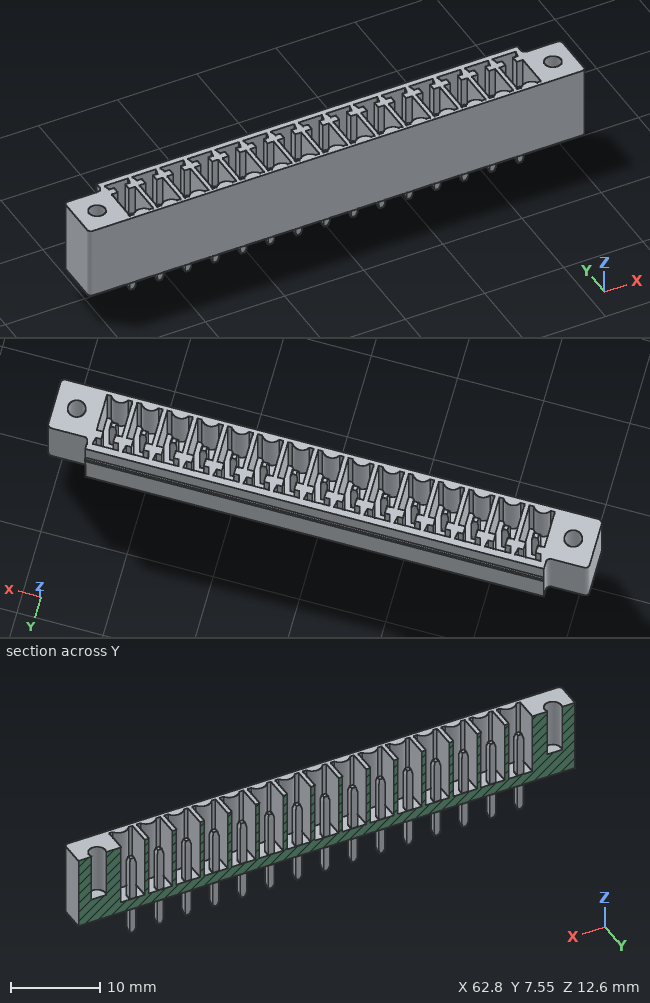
import cadquery as cq

contact_count = 15
contact_pitch = 3.5
contact_span = (contact_count - 1) * contact_pitch
contact_xs = [i * contact_pitch - contact_span / 2 for i in range(contact_count)]
contact_y = 3.0

overall_length = 62.8
overall_depth = 7.55
overall_height = 12.6
housing_height = 9.2
housing_depth = 7.35
center_length = contact_span + 4.2
flange_depth = 6.0
corner_radius = 0.5
step_radius = 0.5

ridge_base_height = 0.8
ridge_crest_height = 0.6
ridge_z = 5.95

hole_diameter = 2.0
hole_depth = 6.0
hole_offset = 4.3

chamber_floor = 1.5
chamber_front = 0.5
chamber_width = 2.95
shoulder_y = 4.85
neck_width = 1.4
slot_front = 5.75
slot_back = 6.55
slot_front_width = 2.6
bump_width = 2.0
bump_projection = 0.55

pin_width = 0.8
pin_tip_width = 0.5
pin_taper = 0.6
pin_top = 7.0
pin_bottom = housing_height - overall_height


def make_housing():
    """Long block with a deeper center part between two flanges."""
    center = cq.Workplane("XY").box(
        center_length, housing_depth, housing_height, centered=(True, False, False)
    )
    flanges = cq.Workplane("XY").box(
        overall_length, flange_depth, housing_height, centered=(True, False, False)
    )
    flanges = flanges.edges("|Z").fillet(corner_radius)
    housing = flanges.union(center)
    for side in (-1, 1):
        step_corner = cq.selectors.NearestToPointSelector(
            (side * center_length / 2, flange_depth, housing_height / 2)
        )
        housing = housing.edges("|Z").edges(step_corner).fillet(step_radius)
    return housing


def make_ridge():
    """Low trapezoidal ridge along the back of the center part."""
    base = ridge_base_height / 2
    crest = ridge_crest_height / 2
    return (
        cq.Workplane("YZ", origin=(-center_length / 2, 0, 0))
        .moveTo(housing_depth, ridge_z - base)
        .lineTo(overall_depth, ridge_z - crest)
        .lineTo(overall_depth, ridge_z + crest)
        .lineTo(housing_depth, ridge_z + base)
        .close()
        .extrude(center_length)
    )


def make_chamber(x):
    """Chamber outline: ribbed front wall, body, neck and dovetail slot."""
    half = chamber_width / 2
    neck = neck_width / 2
    slot = slot_front_width / 2
    bump = bump_width / 2
    return (
        cq.Workplane("XY", origin=(x, 0, chamber_floor))
        .moveTo(-half, chamber_front)
        .lineTo(-bump, chamber_front)
        .threePointArc((0, chamber_front + bump_projection), (bump, chamber_front))
        .lineTo(half, chamber_front)
        .lineTo(half, shoulder_y)
        .lineTo(neck, shoulder_y)
        .lineTo(neck, slot_front)
        .lineTo(slot, slot_front)
        .lineTo(half, slot_back)
        .lineTo(-half, slot_back)
        .lineTo(-slot, slot_front)
        .lineTo(-neck, slot_front)
        .lineTo(-neck, shoulder_y)
        .lineTo(-half, shoulder_y)
        .close()
        .extrude(housing_height - chamber_floor)
    )


def make_pin(x):
    """Square pin through the chamber floor, tapered at both ends."""
    shank_bottom = pin_bottom + pin_taper
    shank_top = pin_top - pin_taper
    pin = (
        cq.Workplane("XY", origin=(x, contact_y, shank_bottom))
        .rect(pin_width, pin_width)
        .extrude(shank_top - shank_bottom)
    )
    for base_z, taper in ((shank_top, pin_taper), (shank_bottom, -pin_taper)):
        tip = (
            cq.Workplane("XY", origin=(x, contact_y, base_z))
            .rect(pin_width, pin_width)
            .workplane(offset=taper)
            .rect(pin_tip_width, pin_tip_width)
            .loft()
        )
        pin = pin.union(tip)
    return pin


def make_mounting_hole(side):
    """Blind hole from the top of one flange; side is -1 or 1."""
    x = side * (contact_span / 2 + hole_offset)
    return (
        cq.Workplane("XY", origin=(x, contact_y, housing_height - hole_depth))
        .circle(hole_diameter / 2)
        .extrude(hole_depth)
    )


result = make_housing().union(make_ridge())
for side in (-1, 1):
    result = result.cut(make_mounting_hole(side))
for x in contact_xs:
    result = result.cut(make_chamber(x))
for x in contact_xs:
    result = result.union(make_pin(x))